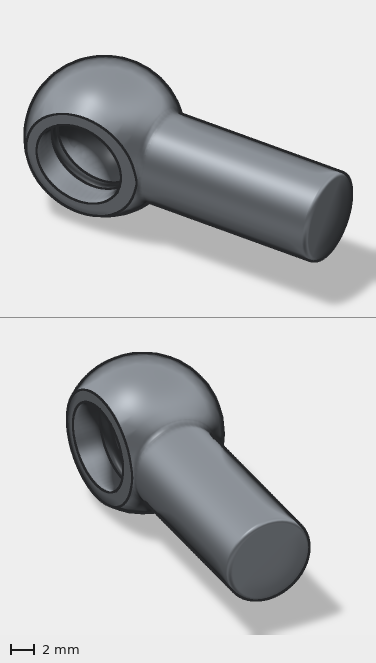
import cadquery as cq
import math

overall_length = 28.8
ball_diameter = 13.6
shank_diameter = 8.0
neck_fillet = 0.8
end_fillet = 0.4

face_distance = 4.38
face_tilt = 2.8

socket_diameter = 8.0
groove_position = 1.5
groove_radius = 0.52
groove_offset = 0.12

ball_radius = ball_diameter / 2
shank_radius = shank_diameter / 2
socket_radius = socket_diameter / 2
groove_ring_radius = socket_radius + groove_offset
shank_end = overall_length - ball_radius


def make_body():
    """Ball, neck fillet and shank as one profile turned about the X axis."""
    fillet_height = shank_radius + neck_fillet
    center_distance = ball_radius + neck_fillet
    fillet_x = math.sqrt(center_distance**2 - fillet_height**2)
    touch_ratio = ball_radius / center_distance
    ball_touch = (fillet_x * touch_ratio, fillet_height * touch_ratio)

    mid_angle = (math.atan2(fillet_height, fillet_x) + math.pi / 2) / 2
    fillet_middle = (
        fillet_x - neck_fillet * math.cos(mid_angle),
        fillet_height - neck_fillet * math.sin(mid_angle),
    )

    profile = (
        cq.Workplane("XY")
        .moveTo(-ball_radius, 0)
        .threePointArc((0, ball_radius), ball_touch)
        .threePointArc(fillet_middle, (fillet_x, shank_radius))
        .lineTo(shank_end, shank_radius)
        .lineTo(shank_end, 0)
        .close()
    )
    body = profile.revolve(360, (0, 0, 0), (1, 0, 0))
    return body.faces(">X").edges().fillet(end_fillet)


def cut_mouth_face(body):
    """Remove the ball cap beyond the tilted mouth face, sparing the shank."""
    cap = (
        cq.Workplane("XY")
        .box(ball_diameter, ball_radius, ball_diameter, centered=(True, False, True))
        .translate((0, -face_distance - ball_radius, 0))
        .rotate((0, 0, 0), (0, 0, 1), face_tilt)
    )
    return body.cut(cap)


def make_socket():
    """Straight bore along Y with a hemispherical floor and a round ring groove."""
    bore = cq.Workplane("XZ").circle(socket_radius).extrude(ball_radius)
    floor = cq.Workplane("XY").sphere(socket_radius)
    groove = (
        cq.Workplane("XY")
        .center(groove_ring_radius, -groove_position)
        .circle(groove_radius)
        .revolve(360, (-groove_ring_radius, 0, 0), (-groove_ring_radius, 1, 0))
    )
    return bore.union(floor).union(groove)


result = cut_mouth_face(make_body()).cut(make_socket())